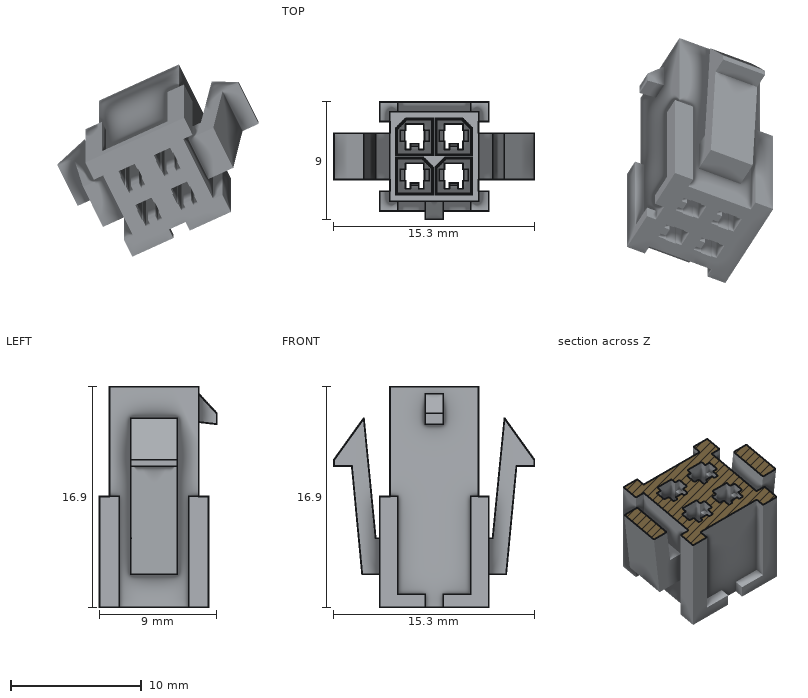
import cadquery as cq
import math

body_x = 6.8
body_y = 6.85
body_height = 16.9

flange_size = 8.37
post_x = 1.4
post_y = 1.52
post_height = 8.5
foot_height = 1.0
front_foot_gap = 1.4

arm_span = 15.35
arm_width = 3.56
arm_bottom_x = 5.52
arm_bottom_z = 2.53
root_x = 4.47
root_top_z = 5.3
barb_bottom_x = 6.31
barb_bottom_z = 10.82
barb_edge_z = 11.3
arm_tip_x = 5.38
arm_tip_z = 14.5

total_y = 9.0
ramp_width = 1.4
ramp_top_z = 16.35
ramp_edge_z = 14.85
ramp_tip_z = 14.02
ramp_root_z = 14.18

pitch = 3.0
mouth_size = 2.86
mouth_chamfer = 0.11
key_cut = 0.78
pocket_depth = 8.4

passage_x = 1.38
passage_waist_x = 1.5
passage_y = 1.93
slot_x = 2.22
slot_y = 0.87
slot_offset_y = 0.08
slot_depth = 1.0
tang_width = 0.66
tang_length = 0.44
tang_base_length = 0.24
tang_step = 0.5

floor_z = body_height - pocket_depth
flange_half = flange_size / 2
arm_reach = arm_span / 2


def block(x_min, x_max, y_min, y_max, z_min, z_max):
    """Axis-aligned box given by its limits."""
    size = (x_max - x_min, y_max - y_min, z_max - z_min)
    return cq.Workplane("XY").box(*size, centered=False).translate((x_min, y_min, z_min))


def centred_block(width, depth, z_min, z_max, x=0, y=0):
    """Box centred on (x, y)."""
    return block(x - width / 2, x + width / 2, y - depth / 2, y + depth / 2, z_min, z_max)


def make_posts():
    """Four corner posts standing proud of the body."""
    centre_x = flange_half - post_x / 2
    centre_y = flange_half - post_y / 2
    posts = cq.Workplane("XY")
    for side_x in (-1, 1):
        for side_y in (-1, 1):
            post = centred_block(post_x, post_y, 0, post_height, side_x * centre_x, side_y * centre_y)
            posts = posts.add(post)
    return posts.combine()


def make_feet():
    """Low bars joining the posts: unbroken at the back, split by a gap at the front."""
    inner_x = flange_half - post_x
    inner_y = flange_half - post_y
    feet = block(-inner_x, inner_x, inner_y, flange_half, 0, foot_height)
    front = block(-inner_x, inner_x, -flange_half, -inner_y, 0, foot_height)
    gap = centred_block(front_foot_gap, flange_size, 0, foot_height)
    return feet.add(front.cut(gap)).combine()


def make_arm():
    """Barbed latch arm on the +X side, leaning outwards from its root."""
    outline = [
        (body_x / 2, arm_bottom_z),
        (arm_bottom_x, arm_bottom_z),
        (barb_bottom_x, barb_bottom_z),
        (arm_reach, barb_bottom_z),
        (arm_reach, barb_edge_z),
        (arm_tip_x, arm_tip_z),
        (root_x, root_top_z),
        (body_x / 2, root_top_z),
    ]
    return cq.Workplane("XZ").polyline(outline).close().extrude(arm_width / 2, both=True)


def make_ramp():
    """Locking ramp with a slightly hooked underside."""
    tip_y = flange_half - total_y
    outline = [
        (-body_y / 2, ramp_top_z),
        (tip_y, ramp_edge_z),
        (tip_y, ramp_tip_z),
        (-body_y / 2, ramp_root_z),
    ]
    return cq.Workplane("YZ").polyline(outline).close().extrude(ramp_width / 2, both=True)


def keyed_outline(size, cut, key_side):
    """Corners of a square whose +Y corner on the given X side is cut off at 45 degrees."""
    half = size / 2
    return [
        (-key_side * half, -half),
        (key_side * half, -half),
        (key_side * half, half - cut),
        (key_side * (half - cut), half),
        (-key_side * half, half),
    ]


def make_pocket(key_side):
    """Keyed square pocket with a chamfered mouth."""
    shaft_cut = key_cut - mouth_chamfer * (2 - math.sqrt(2))
    shaft_outline = keyed_outline(mouth_size - 2 * mouth_chamfer, shaft_cut, key_side)
    mouth_outline = keyed_outline(mouth_size, key_cut, key_side)
    shaft = cq.Workplane("XY").workplane(offset=floor_z).polyline(shaft_outline).close().extrude(pocket_depth)
    mouth = cq.Workplane("XY").workplane(offset=body_height - mouth_chamfer).polyline(shaft_outline).close()
    mouth = mouth.workplane(offset=mouth_chamfer).polyline(mouth_outline).close().loft(ruled=True)
    return shaft.union(mouth)


def make_passage():
    """Through opening, wider along its waist, with blind side slots and a stepped tang on its -Y edge."""
    opening = centred_block(passage_x, passage_y, 0, floor_z)
    waist = centred_block(passage_waist_x, slot_y, 0, floor_z, 0, slot_offset_y)
    edge_y = -passage_y / 2
    half_tang = tang_width / 2
    tang_base = block(-half_tang, half_tang, edge_y, edge_y + tang_base_length, 0, floor_z)
    tang_tip = block(-half_tang, half_tang, edge_y, edge_y + tang_length, 0, floor_z - tang_step)
    slots = centred_block(slot_x, slot_y, floor_z - slot_depth, floor_z, 0, slot_offset_y)
    return opening.cut(tang_base).cut(tang_tip).union(waist).union(slots)


def make_cavities():
    """Two by two pockets; back-row corner cuts face outwards, front-row ones inwards."""
    cavities = []
    for side_x in (-1, 1):
        for side_y in (-1, 1):
            cavity = make_pocket(side_x * side_y).union(make_passage())
            cavities.append(cavity.translate((side_x * pitch / 2, side_y * pitch / 2, 0)))
    return cavities


arm = make_arm()
result = centred_block(body_x, body_y, 0, body_height)
for feature in (make_posts(), make_feet(), arm, arm.mirror("YZ"), make_ramp()):
    result = result.union(feature)
for cavity in make_cavities():
    result = result.cut(cavity)